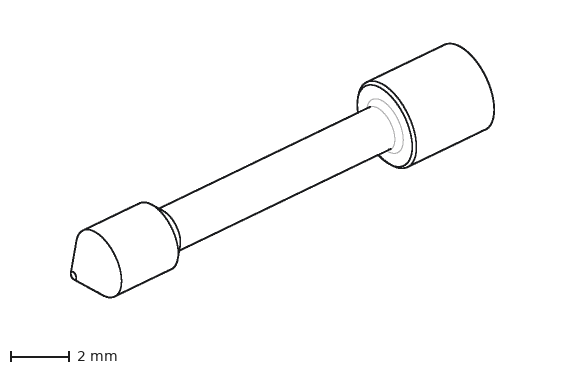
import cadquery as cq

total_length = 16.95
head_diameter = 3.2
head_length = 3.47
head_chamfer = 0.1
shaft_diameter = 1.6
neck_fillet = 0.2
tip_diameter = 2.5
tip_flat_diameter = 0.3
tip_barrel_length = 2.45

head_radius = head_diameter / 2
shaft_radius = shaft_diameter / 2
tip_radius = tip_diameter / 2
tip_flat_radius = tip_flat_diameter / 2

cone_end = tip_radius - tip_flat_radius
barrel_end = cone_end + tip_barrel_length
shaft_start = barrel_end + tip_radius - shaft_radius
head_start = total_length - head_length

profile = (
    cq.Workplane("XY")
    .moveTo(0, 0)
    .lineTo(tip_flat_radius, 0)
    .lineTo(tip_radius, cone_end)
    .lineTo(tip_radius, barrel_end)
    .lineTo(shaft_radius, shaft_start)
    .lineTo(shaft_radius, head_start - neck_fillet)
    .radiusArc((shaft_radius + neck_fillet, head_start), neck_fillet)
    .lineTo(head_radius - head_chamfer, head_start)
    .lineTo(head_radius, head_start + head_chamfer)
    .lineTo(head_radius, total_length)
    .lineTo(0, total_length)
    .close()
)

result = profile.revolve(360, (0, 0, 0), (0, 1, 0))